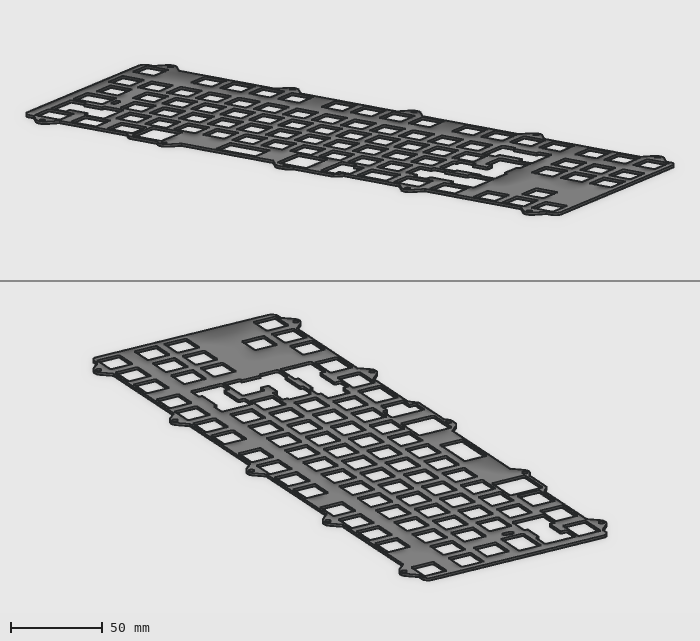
import cadquery as cq
import math

plate_length = 350.5
plate_height = 117.5
thickness = 1.5
plate_corner_radius = 4.0

key_field_margin = 1.5
key_field_columns = 18.25
pitch = (plate_length - 2 * key_field_margin) / key_field_columns
function_row, number_row, tab_row, home_row, shift_row, bottom_row = 0, 1.25, 2.25, 3.25, 4.25, 5.25
switch_body = 14.0
switch_clearance = 0.05
switch_size = switch_body + 2 * switch_clearance
half_switch = switch_size / 2
switch_corner_radius = 0.5

overall_height = 131.0
ear_spacing = 80.0
ear_positions = [index * ear_spacing for index in range(-2, 3)]
ear_tip_radius = 5.0
ear_root_half_width = 8.8
ear_hole_diameter = 3.0
ear_hole_y = 63.0
ear_widening = 2.8

bulge_depth = 4.2
left_bulge_span = (-103.0, -80.0)
right_bulge_span = (0.0, 31.2)
overlap = 0.5

stabiliser_width = 8.8
stabiliser_top = 9.0
stabiliser_bottom = -11.0
stabiliser_corner_radius = 1.0
space_stabiliser_width = 9.8
space_stabiliser_top = 10.0

enter_right_x = 109.0
enter_upper_left_x = 89.0
enter_column_left_x = 93.3
enter_notch_x = 107.3
enter_notch_top_y = 3.5
enter_notch_bottom_y = -8.5
enter_left_column = 12.75
enter_right_column = 14.03
enter_relief_half_width = 5.3
enter_relief_top = 10.0
enter_bottom = -8.8

slot_column = 0.97
slot_width = 3.0
slot_length = 6.5


def column_x(column):
    return -plate_length / 2 + key_field_margin + (column + 0.5) * pitch


def row_y(row):
    return (bottom_row / 2 - row) * pitch


def opening(x_min, x_max, y_min, y_max, radius=switch_corner_radius):
    """Cutter for a rectangular opening with slightly rounded corners."""
    return (
        cq.Workplane("XY")
        .center((x_min + x_max) / 2, (y_min + y_max) / 2)
        .rect(x_max - x_min, y_max - y_min)
        .extrude(thickness, both=True)
        .edges("|Z")
        .fillet(radius)
    )


def switch_opening(row, first_column, last_column):
    """Cutter for a switch that may sit anywhere between two columns."""
    return opening(
        column_x(first_column) - half_switch,
        column_x(last_column) + half_switch,
        row_y(row) - half_switch,
        row_y(row) + half_switch,
    )


def stabiliser_opening(row, first_column, last_column, width, bottom, top):
    """Cutter for a stabiliser housing that may sit anywhere between two columns."""
    return opening(
        column_x(first_column) - width / 2,
        column_x(last_column) + width / 2,
        row_y(row) + bottom,
        row_y(row) + top,
        stabiliser_corner_radius,
    )


def plate_prism(outline):
    """Closed outline extruded to the plate thickness, centred on Z = 0."""
    return outline.close().extrude(thickness / 2, both=True)


def upper_ear(x):
    """Round-tipped ear whose straight flanks run tangentially down to the plate edge."""
    root_y = plate_height / 2 - overlap
    tip_y = overall_height / 2
    centre_y = tip_y - ear_tip_radius
    rise = centre_y - root_y
    root_distance = math.hypot(ear_root_half_width, rise)
    tangent_angle = math.acos(ear_tip_radius / root_distance) - math.atan2(rise, ear_root_half_width)
    tangent_x = ear_tip_radius * math.cos(tangent_angle)
    tangent_y = centre_y + ear_tip_radius * math.sin(tangent_angle)
    outline = (
        cq.Workplane("XY")
        .moveTo(x - ear_root_half_width, root_y)
        .lineTo(x - tangent_x, tangent_y)
        .threePointArc((x, tip_y), (x + tangent_x, tangent_y))
        .lineTo(x + ear_root_half_width, root_y)
    )
    return plate_prism(outline)


def lower_ear(x):
    return upper_ear(x).mirror("XZ")


def bulge(x_min, x_max):
    """Strip below the lower edge with ends sloping at 45 degrees."""
    root_y = -plate_height / 2 + overlap
    run = bulge_depth + overlap
    outline = cq.Workplane("XY").polyline(
        [
            (x_min - run, root_y),
            (x_min, root_y - run),
            (x_max, root_y - run),
            (x_max + run, root_y),
        ]
    )
    return plate_prism(outline)


plate = (
    cq.Workplane("XY")
    .box(plate_length, plate_height, thickness)
    .edges("|Z")
    .fillet(plate_corner_radius)
)
for x in ear_positions:
    plate = plate.union(upper_ear(x)).union(lower_ear(x))
plate = plate.union(bulge(*left_bulge_span)).union(bulge(*right_bulge_span))
ear_filler = plate_prism(
    cq.Workplane("XY").polyline(
        [
            (-ear_widening, -plate_height / 2),
            (-ear_widening, -overall_height / 2),
            (0, -overall_height / 2),
            (0, -plate_height / 2),
        ]
    )
)
plate = plate.union(lower_ear(-ear_widening)).union(ear_filler)

hole_centres = [(x, side * ear_hole_y) for x in ear_positions for side in (-1, 1)]
screw_holes = (
    cq.Workplane("XY")
    .pushPoints(hole_centres)
    .circle(ear_hole_diameter / 2)
    .extrude(thickness, both=True)
)

right_block = [15.25, 16.25, 17.25]
single_switches = {
    function_row: [0, 2, 3, 4, 5, 6.5, 7.5, 8.5, 9.5, 11, 12, 13, 14] + right_block,
    number_row: list(range(13)) + right_block,
    tab_row: [0.25] + [1.5 + index for index in range(12)] + right_block,
    home_row: [1.75 + index for index in range(11)],
    shift_row: [2.25 + index for index in range(10)] + [16.25],
    bottom_row: right_block,
}
cutters = [screw_holes]
for row, columns in single_switches.items():
    for column in columns:
        cutters.append(switch_opening(row, column, column))

stretched_switches = [
    (number_row, 13.25, 13.75),
    (home_row, 0.125, 0.375),
    (shift_row, 0.5, 0.75),
    (shift_row, 12.25, 13.5),
    (bottom_row, 0.125, 0.25),
    (bottom_row, 1.375, 1.5),
    (bottom_row, 2.625, 2.75),
    (bottom_row, 6.375, 7.0),
    (bottom_row, 10.125, 10.25),
    (bottom_row, 11.25, 11.5),
    (bottom_row, 12.5, 12.625),
    (bottom_row, 13.75, 13.875),
]
for row, first_column, last_column in stretched_switches:
    cutters.append(switch_opening(row, first_column, last_column))

stabilisers = [
    (number_row, 12.875, 12.875),
    (number_row, 14.125, 14.125),
    (shift_row, 0, 0.07),
    (shift_row, 1.15, 1.375),
    (shift_row, 12.5, 12.5),
    (shift_row, 13.75, 14.125),
]
for row, first_column, last_column in stabilisers:
    cutters.append(
        stabiliser_opening(
            row,
            first_column,
            last_column,
            stabiliser_width,
            stabiliser_bottom,
            stabiliser_top,
        )
    )
space_stabilisers = [(3.5, 4.0), (8.5, 9.0), (10.0, 10.0)]
for first_column, last_column in space_stabilisers:
    cutters.append(
        stabiliser_opening(
            bottom_row,
            first_column,
            last_column,
            space_stabiliser_width,
            stabiliser_bottom,
            space_stabiliser_top,
        )
    )

enter_relief_x = column_x(enter_left_column)
enter_bottom_y = row_y(home_row) + enter_bottom
enter_upper_top_y = row_y(tab_row) + half_switch
cutters += [
    opening(
        column_x(enter_left_column) - half_switch,
        enter_notch_x,
        row_y(home_row) - half_switch,
        row_y(home_row) + half_switch,
    ),
    opening(enter_upper_left_x, enter_notch_x, row_y(tab_row) - half_switch, enter_upper_top_y),
    opening(enter_column_left_x, enter_notch_x, row_y(home_row), row_y(tab_row)),
    opening(enter_column_left_x, enter_right_x, enter_notch_top_y, enter_upper_top_y),
    opening(
        column_x(enter_right_column) - stabiliser_width / 2,
        enter_right_x,
        enter_bottom_y,
        enter_notch_bottom_y,
        stabiliser_corner_radius,
    ),
    stabiliser_opening(
        home_row,
        enter_left_column,
        enter_left_column,
        stabiliser_width,
        enter_bottom,
        half_switch,
    ),
    opening(
        enter_relief_x - enter_relief_half_width,
        enter_relief_x + enter_relief_half_width,
        row_y(home_row),
        row_y(home_row) + enter_relief_top,
    ),
]

slot = (
    cq.Workplane("XY")
    .center(column_x(slot_column), row_y(home_row))
    .slot2D(slot_length, slot_width, 90)
    .extrude(thickness, both=True)
)
cutters.append(slot)

cutter_solids = [solid for cutter in cutters for solid in cutter.solids().vals()]
result = cq.Workplane("XY").newObject([plate.val().cut(*cutter_solids)])